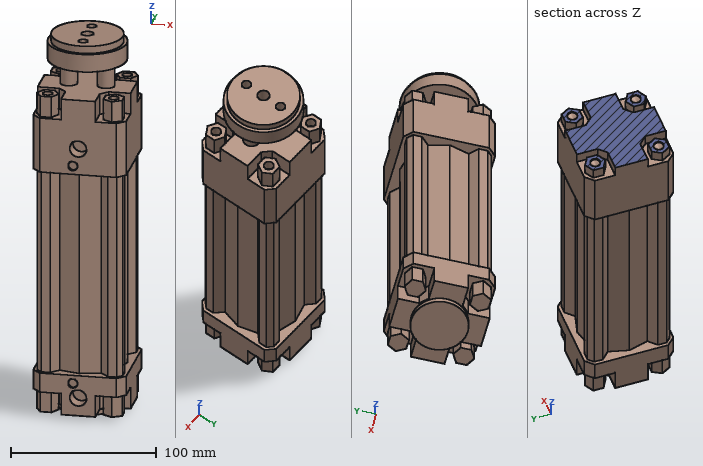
import cadquery as cq
import math

TOTAL_HEIGHT = 272.0
BOSS_HEIGHT = 4.0
BOTTOM_POCKET_TOP = 19.5
BOTTOM_COVER_TOP = 33.5
TOP_COVER_BOTTOM = 180.5
TOP_POCKET_FLOOR = 220.0
TOP_COVER_TOP = 235.0

COVER_SIDE = 65.0
COVER_CHAMFER = 5.7
BOSS_DIAMETER = 40.0
POCKET_WALL = 12.0
POCKET_INNER_CHAMFER = 5.5

BARREL_HALF = 30.0
BARREL_CHAMFER = 3.5
CORNER_PAD_END = 20.0
PAD_SLOPE = 5.7
RIDGE_HALF = 28.0

NUT_OFFSET = 23.0
NUT_ACROSS_FLATS = 13.0
NUT_HOLE_DIAMETER = 6.8
NUT_HOLE_DEPTH = 8.2

PORT_DIAMETER = 11.7
PORT_DEPTH = 11.0
SCREW_HOLE_DIAMETER = 6.5
SCREW_HOLE_DEPTH = 1.5
SCREW_HOLE_X = -3.8
TOP_PORT_Z = 199.5
TOP_SCREW_Z = 186.5
BOTTOM_PORT_Z = 17.0
BOTTOM_SCREW_Z = 27.5

PLATE_DIAMETER = 55.0
PLATE_BOTTOM = 254.0
PILOT_DIAMETER = 50.0
PILOT_HEIGHT = 5.2
ROD_DIAMETER = 12.0
ROD_OFFSET = 13.0
CENTRE_HOLE_DIAMETER = 8.5
SIDE_HOLE_DIAMETER = 6.5
SIDE_HOLE_OFFSET = 15.0

DRILL_POINT_ANGLE = 118.0
QUARTER_TURNS = (0, 90, 180, 270)


def prism(points, bottom, top):
    """Closed polygon extruded from one height to another."""
    return cq.Workplane("XY").workplane(offset=bottom).polyline(points).close().extrude(top - bottom)


def drilled_hole(diameter, depth):
    """Cutter for a hole going down from the origin, with a conical drill point."""
    radius = diameter / 2
    tip = depth + radius / math.tan(math.radians(DRILL_POINT_ANGLE / 2))
    section = [(0, 0), (radius, 0), (radius, -depth), (0, -tip)]
    return cq.Workplane("XZ").polyline(section).close().revolve(360, (0, 0), (0, 1))


def around_axis(shape):
    """Four copies of a shape, a quarter turn apart about Z."""
    return [shape.rotate((0, 0, 0), (0, 0, 1), angle) for angle in QUARTER_TURNS]


def cover(bottom, top):
    block = cq.Workplane("XY").workplane(offset=bottom).rect(COVER_SIDE, COVER_SIDE).extrude(top - bottom)
    return block.edges("|Z").chamfer(COVER_CHAMFER)


def corner_pocket(bottom, top):
    """Cutter for the pocket at the -X -Y corner."""
    outside = -COVER_SIDE
    chamfer_end = POCKET_WALL + POCKET_INNER_CHAMFER
    return prism(
        [
            (outside, outside),
            (-POCKET_WALL, outside),
            (-POCKET_WALL, -chamfer_end),
            (-chamfer_end, -POCKET_WALL),
            (outside, -POCKET_WALL),
        ],
        bottom,
        top,
    )


def nut(bottom, top):
    """Hexagonal tie-rod nut at the -X -Y corner, with flats facing -Y and +Y."""
    across_corners = NUT_ACROSS_FLATS / math.cos(math.pi / 6)
    plane = cq.Workplane("XY").workplane(offset=bottom).center(-NUT_OFFSET, -NUT_OFFSET)
    return plane.polygon(6, across_corners).extrude(top - bottom)


def barrel():
    """Tube with a pad at each corner and a shallow ridge along each side."""
    pad_corner = BARREL_HALF - BARREL_CHAMFER
    valley_x = CORNER_PAD_END - PAD_SLOPE
    valley_y = BARREL_HALF - PAD_SLOPE
    front_side = [
        (-pad_corner, -BARREL_HALF),
        (-CORNER_PAD_END, -BARREL_HALF),
        (-valley_x, -valley_y),
        (0, -RIDGE_HALF),
        (valley_x, -valley_y),
        (CORNER_PAD_END, -BARREL_HALF),
        (pad_corner, -BARREL_HALF),
    ]
    outline = []
    for angle in QUARTER_TURNS:
        c = round(math.cos(math.radians(angle)))
        s = round(math.sin(math.radians(angle)))
        outline += [(c * x - s * y, s * x + c * y) for x, y in front_side]
    return prism(outline, BOTTOM_COVER_TOP, TOP_COVER_BOTTOM)


def port(diameter, depth, x, z):
    """Cutter for a flat-bottomed hole in the -Y side of a cover."""
    plane = cq.Workplane("XZ", origin=(x, -COVER_SIDE / 2, z))
    return plane.circle(diameter / 2).extrude(-depth)


def make_housing():
    body = cover(BOSS_HEIGHT, BOTTOM_COVER_TOP)
    body = body.union(barrel())
    body = body.union(cover(TOP_COVER_BOTTOM, TOP_COVER_TOP))
    body = body.union(cq.Workplane("XY").circle(BOSS_DIAMETER / 2).extrude(BOSS_HEIGHT))

    for bottom, top in ((BOSS_HEIGHT, BOTTOM_POCKET_TOP), (TOP_POCKET_FLOOR, TOP_COVER_TOP)):
        for pocket in around_axis(corner_pocket(bottom, top)):
            body = body.cut(pocket)
        for hexagon in around_axis(nut(bottom, top)):
            body = body.union(hexagon)

    nut_hole = drilled_hole(NUT_HOLE_DIAMETER, NUT_HOLE_DEPTH)
    nut_hole = nut_hole.translate((-NUT_OFFSET, -NUT_OFFSET, TOP_COVER_TOP))
    for hole in around_axis(nut_hole):
        body = body.cut(hole)

    for z in (BOTTOM_PORT_Z, TOP_PORT_Z):
        body = body.cut(port(PORT_DIAMETER, PORT_DEPTH, 0, z))
    for z in (BOTTOM_SCREW_Z, TOP_SCREW_Z):
        body = body.cut(port(SCREW_HOLE_DIAMETER, SCREW_HOLE_DEPTH, SCREW_HOLE_X, z))
    return body


def make_moving_plate():
    """Round plate carried by two rods that stand on the top cover."""
    pilot_bottom = TOTAL_HEIGHT - PILOT_HEIGHT
    disc = cq.Workplane("XY").workplane(offset=PLATE_BOTTOM)
    body = disc.circle(PLATE_DIAMETER / 2).extrude(pilot_bottom - PLATE_BOTTOM)
    body = body.faces(">Z").workplane().circle(PILOT_DIAMETER / 2).extrude(PILOT_HEIGHT)
    body = body.faces(">Z").workplane().hole(CENTRE_HOLE_DIAMETER)
    side_holes = [(0, -SIDE_HOLE_OFFSET), (0, SIDE_HOLE_OFFSET)]
    body = body.faces(">Z").workplane().pushPoints(side_holes).hole(SIDE_HOLE_DIAMETER)

    rod_places = [(-ROD_OFFSET, 0), (ROD_OFFSET, 0)]
    rods = cq.Workplane("XY").workplane(offset=TOP_COVER_TOP).pushPoints(rod_places)
    return body.union(rods.circle(ROD_DIAMETER / 2).extrude(PLATE_BOTTOM - TOP_COVER_TOP))


housing = make_housing()
moving_plate = make_moving_plate()

result = cq.Compound.makeCompound([housing.val(), moving_plate.val()])